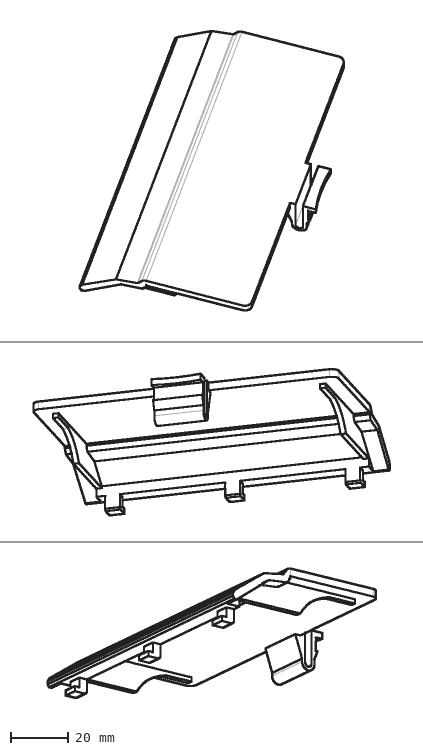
import cadquery as cq
import math

COVER_WIDTH = 111.7
TOTAL_LENGTH = 71.7
TOTAL_HEIGHT = 21.7

THICKNESS = 2.9
PLATE_END_X = 62.3
PLATE_CORNER_RADIUS = 2.6
RISER_TOP_X = 23.5
RISER_FOOT = (21.3, -2.8)
RAMP_TOP = (13.3, -4.0)
RAMP_FOOT = (0.9, -12.7)
LIP_TOP_Z = -14.1
LIP_CORNER_LENGTH = 0.6
LIP_CORNER_HEIGHT = 1.0
LIP_BOTTOM_Z = -16.2
CREST_RADIUS = 2.0
RISER_FOOT_RADIUS = 0.6
LIP_SIDE_SETBACK = 0.3

UNDER_LIP_X = 1.7
UNDER_RAMP_TOP = (15.2, -6.3)
UNDER_RISER_FOOT = (23.1, -5.5)
UNDER_RISER_TOP = (24.3, -3.7)

RIB_INSET = 5.9
RIB_THICKNESS = 2.0
RIB_BOTTOM_Z = -13.2
RIB_ARC_START_X = 32.8
RIB_ARC_END_X = 45.2
RIB_END_X = 56.4
RIB_ARC_SAGITTA = 1.6
RIB_DEPTH_AT_END = 1.6

HOOK_WIDTH = 5.5
HOOK_SPACING = 44.0
HOOK_BACK_X = 6.7
HOOK_STEM_X = 3.5
HOOK_TIP_X = 1.5
HOOK_TOE_HEIGHT = 1.9
HOOK_CHAMFER = 0.7

LATCH_WIDTH = 18.0
LATCH_ROOT_X = 60.1
LATCH_BEND_X = 65.7
LATCH_BEND_Z = -12.5
LATCH_OUTER_RADIUS = 2.7
LATCH_SLOT_RADIUS = 1.3
LATCH_TAPER_END_Z = -11.4
FINGER_THICKNESS = 2.2
FINGER_STEM_X = 68.9
BARB_TIP = (69.7, -7.1)
BARB_FOOT_Z = -10.5
FINGER_DISH = 0.9


def extrude_profile(profile, width, center_y=0.0):
    """Extrude an XZ outline symmetrically about the given Y position."""
    return profile.extrude(width / 2, both=True).translate((0, center_y, 0))


def underside(profile):
    """Continue a profile along the cover's underside, from lip to plate."""
    return (
        profile.lineTo(*UNDER_RAMP_TOP)
        .lineTo(*UNDER_RISER_FOOT)
        .lineTo(*UNDER_RISER_TOP)
        .lineTo(UNDER_RISER_TOP[0], -THICKNESS)
    )


def make_cover():
    profile = underside(cq.Workplane("XZ").moveTo(UNDER_LIP_X, LIP_BOTTOM_Z))
    profile = (
        profile.lineTo(PLATE_END_X, -THICKNESS)
        .lineTo(PLATE_END_X, 0)
        .lineTo(RISER_TOP_X, 0)
        .lineTo(*RISER_FOOT)
        .lineTo(*RAMP_TOP)
        .lineTo(*RAMP_FOOT)
        .lineTo(0, LIP_TOP_Z)
        .lineTo(0, LIP_BOTTOM_Z + LIP_CORNER_HEIGHT)
        .lineTo(LIP_CORNER_LENGTH, LIP_BOTTOM_Z)
        .close()
    )
    cover = extrude_profile(profile, COVER_WIDTH)
    crest = cq.selectors.NearestToPointSelector((RISER_TOP_X, 0, 0))
    cover = cover.edges(crest).fillet(CREST_RADIUS)
    riser_foot = cq.selectors.NearestToPointSelector((RISER_FOOT[0], 0, RISER_FOOT[1]))
    cover = cover.edges(riser_foot).fillet(RISER_FOOT_RADIUS)
    cover = cover.edges("|Z and >X").fillet(PLATE_CORNER_RADIUS)
    half_width = COVER_WIDTH / 2
    for side in (-1, 1):
        taper = cq.Workplane("XY").polyline(
            [
                (0, side * half_width),
                (UNDER_RISER_TOP[0], side * half_width),
                (0, side * (half_width - LIP_SIDE_SETBACK)),
            ]
        ).close()
        cover = cover.cut(taper.extrude(-TOTAL_HEIGHT))
    return cover


def make_rib(center_y):
    end_bottom_z = -THICKNESS - RIB_DEPTH_AT_END
    chord_run = RIB_ARC_END_X - RIB_ARC_START_X
    chord_rise = end_bottom_z - RIB_BOTTOM_Z
    chord = math.hypot(chord_run, chord_rise)
    arc_middle = (
        (RIB_ARC_START_X + RIB_ARC_END_X) / 2 - RIB_ARC_SAGITTA * chord_rise / chord,
        (RIB_BOTTOM_Z + end_bottom_z) / 2 + RIB_ARC_SAGITTA * chord_run / chord,
    )
    profile = underside(cq.Workplane("XZ").moveTo(UNDER_LIP_X, LIP_BOTTOM_Z))
    profile = (
        profile.lineTo(RIB_END_X, -THICKNESS)
        .lineTo(RIB_END_X, end_bottom_z)
        .lineTo(RIB_ARC_END_X, end_bottom_z)
        .threePointArc(arc_middle, (RIB_ARC_START_X, RIB_BOTTOM_Z))
        .lineTo(HOOK_BACK_X, RIB_BOTTOM_Z)
        .lineTo(HOOK_BACK_X, LIP_BOTTOM_Z)
        .close()
    )
    return extrude_profile(profile, RIB_THICKNESS, center_y)


def make_rail():
    """Wedge that fills the corner between the ramp and the lip's flat bottom."""
    slope = (UNDER_RAMP_TOP[1] - LIP_BOTTOM_Z) / (UNDER_RAMP_TOP[0] - UNDER_LIP_X)
    back_top_z = LIP_BOTTOM_Z + slope * (HOOK_BACK_X - UNDER_LIP_X)
    profile = cq.Workplane("XZ").polyline(
        [(UNDER_LIP_X, LIP_BOTTOM_Z), (HOOK_BACK_X, LIP_BOTTOM_Z), (HOOK_BACK_X, back_top_z)]
    ).close()
    return extrude_profile(profile, COVER_WIDTH - 2 * RIB_INSET)


def make_hook(center_y):
    toe_top_z = -TOTAL_HEIGHT + HOOK_TOE_HEIGHT
    profile = (
        cq.Workplane("XZ")
        .moveTo(HOOK_BACK_X, LIP_BOTTOM_Z)
        .lineTo(HOOK_BACK_X, -TOTAL_HEIGHT + HOOK_CHAMFER)
        .lineTo(HOOK_BACK_X - HOOK_CHAMFER, -TOTAL_HEIGHT)
        .lineTo(HOOK_TIP_X, -TOTAL_HEIGHT)
        .lineTo(HOOK_TIP_X, toe_top_z)
        .lineTo(HOOK_STEM_X, toe_top_z)
        .lineTo(HOOK_STEM_X, LIP_BOTTOM_Z)
        .close()
    )
    return extrude_profile(profile, HOOK_WIDTH, center_y)


def make_latch():
    outer_left_x = LATCH_BEND_X - LATCH_OUTER_RADIUS
    outer_right_x = LATCH_BEND_X + LATCH_OUTER_RADIUS
    slot_left_x = LATCH_BEND_X - LATCH_SLOT_RADIUS
    slot_right_x = LATCH_BEND_X + LATCH_SLOT_RADIUS
    profile = (
        cq.Workplane("XZ")
        .moveTo(LATCH_ROOT_X, 0)
        .lineTo(slot_left_x, 0)
        .lineTo(slot_left_x, LATCH_BEND_Z)
        .threePointArc((LATCH_BEND_X, LATCH_BEND_Z - LATCH_SLOT_RADIUS), (slot_right_x, LATCH_BEND_Z))
        .lineTo(slot_right_x, 0)
        .lineTo(TOTAL_LENGTH, 0)
        .lineTo(TOTAL_LENGTH, -FINGER_THICKNESS)
        .lineTo(FINGER_STEM_X, -FINGER_THICKNESS)
        .lineTo(FINGER_STEM_X, BARB_TIP[1])
        .lineTo(*BARB_TIP)
        .lineTo(outer_right_x, BARB_FOOT_Z)
        .lineTo(outer_right_x, LATCH_BEND_Z)
        .threePointArc((LATCH_BEND_X, LATCH_BEND_Z - LATCH_OUTER_RADIUS), (outer_left_x, LATCH_BEND_Z))
        .lineTo(outer_left_x, LATCH_TAPER_END_Z)
        .lineTo(LATCH_ROOT_X, -THICKNESS)
        .close()
    )
    latch = extrude_profile(profile, LATCH_WIDTH)
    dish = (
        cq.Workplane("XY")
        .moveTo(TOTAL_LENGTH, -LATCH_WIDTH / 2)
        .threePointArc((TOTAL_LENGTH - FINGER_DISH, 0), (TOTAL_LENGTH, LATCH_WIDTH / 2))
        .close()
        .extrude(-FINGER_THICKNESS)
    )
    return latch.cut(dish)


result = make_cover().union(make_rail()).union(make_latch())

rib_y = (COVER_WIDTH - RIB_THICKNESS) / 2 - RIB_INSET
for y in (-rib_y, rib_y):
    result = result.union(make_rib(y))

for y in (-HOOK_SPACING, 0, HOOK_SPACING):
    result = result.union(make_hook(y))